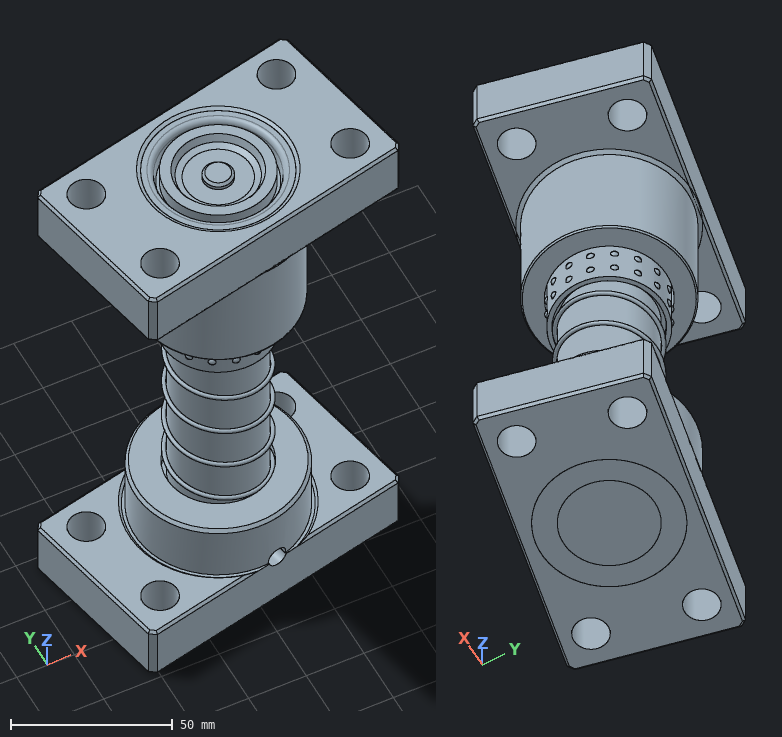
import cadquery as cq
import math


TOTAL_HEIGHT = 180.4
PLATE_LENGTH = 100.1
PLATE_WIDTH = 57.9
PLATE_THICKNESS = 20.0
PLATE_TURN = 12.4
PLATE_CORNER_CHAMFER = 2.0
PLATE_EDGE_CHAMFER = 0.9
BOLT_SPACING_LENGTH = 76.0
BOLT_SPACING_WIDTH = 35.9
BOLT_HOLE_RADIUS = 6.0
TOP_PLATE_Z = TOTAL_HEIGHT - PLATE_THICKNESS

PILLAR_RADIUS = 16.0
SPIGOT_RADIUS = 24.0
SPRING_POCKET_RADIUS = 17.7
BUSH_BORE_RADIUS = 20.0

TOP_BORE_CHAMFER_WIDTH = 1.3
TOP_BORE_CHAMFER_DEPTH = 0.7
BUSH_TOP_Z = TOTAL_HEIGHT - TOP_BORE_CHAMFER_DEPTH

BUSH_RADIUS = 27.5
BUSH_BODY_HEIGHT = 39.7
BUSH_EDGE_CHAMFER = 0.5
BUSH_LIP_WIDTH = 1.5
BUSH_LIP_HEIGHT = 0.9
BUSH_MOUTH_ROUND = 2.0
BUSH_BOTTOM_Z = TOP_PLATE_Z - BUSH_BODY_HEIGHT

COLLAR_RADIUS = 28.9
COLLAR_TOP_Z = 2 * PLATE_THICKNESS
COLLAR_CHAMFER = 1.0
SEAT_MOUTH_RADIUS = 30.8
SEAT_DEPTH = 0.9
COLLAR_POCKET_DEPTH = 5.0
CROSS_HOLE_RADIUS = 3.5

CAP_RADIUS = 18.2
CAP_TOP_Z = 179.8
CAP_THICKNESS = 5.5
CAP_BOTTOM_Z = CAP_TOP_Z - CAP_THICKNESS
DISH_MOUTH_RADIUS = 14.6
DISH_WALL_FOOT_RADIUS = 13.3
DISH_FLOOR_RADIUS = 11.2
DISH_WALL_DEPTH = 2.5
DISH_DEPTH = 3.5
STUD_RADIUS = 5.0
STUD_HEIGHT = 2.2
STUD_CHAMFER = 0.9
DISH_FLOOR_Z = CAP_TOP_Z - DISH_DEPTH

CAGE_RADIUS = 19.3
CAGE_BOTTOM_Z = 105.3
CAGE_POCKET_DEPTH = 2.9
BALL_RADIUS = 1.5
BALLS_PER_ROW = 16
BALL_ROW_HEIGHTS = (110.2, 117.6)
BALL_START_ANGLE = 12.4
BALL_PITCH_RADIUS = BUSH_BORE_RADIUS - BALL_RADIUS

WIRE_RADIUS = 0.7
SPRING_PITCH = 16.0
SPRING_BOTTOM_Z = COLLAR_TOP_Z - COLLAR_POCKET_DEPTH + WIRE_RADIUS
SPRING_TOP_Z = CAGE_BOTTOM_Z + CAGE_POCKET_DEPTH - WIRE_RADIUS
SPRING_HEIGHT = SPRING_TOP_Z - SPRING_BOTTOM_Z
SPRING_END_ANGLE = -145.0
SPRING_CLEARANCE = 0.09
COIL_RADIUS = PILLAR_RADIUS + WIRE_RADIUS + SPRING_CLEARANCE


def turned_body(profile):
    """Revolve a closed (radius, z) outline about the pillar axis."""
    return cq.Workplane("XZ").polyline(profile).close().revolve(360, (0, 0), (0, 1))


def cylinder(radius, bottom_z, top_z):
    return cq.Workplane("XY").workplane(offset=bottom_z).circle(radius).extrude(top_z - bottom_z)


def turn_with_plates(body):
    return body.rotate((0, 0, 0), (0, 0, 1), PLATE_TURN)


def drilled_plate(bottom_z):
    """Chamfered plate with four bolt holes and the central bore, before it is turned about Z."""
    top_z = bottom_z + PLATE_THICKNESS
    plate = (
        cq.Workplane("XY")
        .workplane(offset=bottom_z)
        .rect(PLATE_LENGTH, PLATE_WIDTH)
        .extrude(PLATE_THICKNESS)
        .edges("|Z")
        .chamfer(PLATE_CORNER_CHAMFER)
        .faces("<Z or >Z")
        .edges()
        .chamfer(PLATE_EDGE_CHAMFER)
    )
    bolt_holes = (
        cq.Workplane("XY")
        .workplane(offset=bottom_z)
        .rect(BOLT_SPACING_LENGTH, BOLT_SPACING_WIDTH, forConstruction=True)
        .vertices()
        .circle(BOLT_HOLE_RADIUS)
        .extrude(PLATE_THICKNESS)
    )
    return plate.cut(bolt_holes).cut(cylinder(SPIGOT_RADIUS, bottom_z, top_z))


def cross_hole():
    """Cylinder from the long -Y side of the bottom plate to the axis, level with the plate top."""
    hole = (
        cq.Workplane("XZ")
        .center(0, PLATE_THICKNESS)
        .circle(CROSS_HOLE_RADIUS)
        .extrude(PLATE_WIDTH)
    )
    return turn_with_plates(hole)


def build_top_plate():
    bore_chamfer = turned_body([
        (0, BUSH_TOP_Z),
        (SPIGOT_RADIUS, BUSH_TOP_Z),
        (SPIGOT_RADIUS + TOP_BORE_CHAMFER_WIDTH, TOTAL_HEIGHT),
        (0, TOTAL_HEIGHT),
    ])
    return turn_with_plates(drilled_plate(TOP_PLATE_Z).cut(bore_chamfer))


def build_bottom_plate():
    seat_z = PLATE_THICKNESS - SEAT_DEPTH
    seat = turned_body([
        (0, seat_z),
        (SEAT_MOUTH_RADIUS - SEAT_DEPTH, seat_z),
        (SEAT_MOUTH_RADIUS, PLATE_THICKNESS),
        (0, PLATE_THICKNESS),
    ])
    return turn_with_plates(drilled_plate(0).cut(seat)).cut(cross_hole())


def build_bush():
    bush = turned_body([
        (BUSH_BORE_RADIUS, BUSH_BOTTOM_Z),
        (BUSH_RADIUS - BUSH_EDGE_CHAMFER, BUSH_BOTTOM_Z),
        (BUSH_RADIUS, BUSH_BOTTOM_Z + BUSH_EDGE_CHAMFER),
        (BUSH_RADIUS, TOP_PLATE_Z - BUSH_LIP_HEIGHT),
        (BUSH_RADIUS + BUSH_LIP_WIDTH, TOP_PLATE_Z),
        (SPIGOT_RADIUS, TOP_PLATE_Z),
        (SPIGOT_RADIUS, BUSH_TOP_Z),
        (BUSH_BORE_RADIUS, BUSH_TOP_Z),
    ])
    bore_mouth = bush.faces(">Z").edges(cq.selectors.RadiusNthSelector(0))
    return bore_mouth.fillet(BUSH_MOUTH_ROUND)


def build_collar():
    seat_z = PLATE_THICKNESS - SEAT_DEPTH
    pocket_floor_z = COLLAR_TOP_Z - COLLAR_POCKET_DEPTH
    collar = turned_body([
        (PILLAR_RADIUS, 0),
        (SPIGOT_RADIUS, 0),
        (SPIGOT_RADIUS, seat_z),
        (COLLAR_RADIUS, seat_z),
        (COLLAR_RADIUS, COLLAR_TOP_Z - COLLAR_CHAMFER),
        (COLLAR_RADIUS - COLLAR_CHAMFER, COLLAR_TOP_Z),
        (SPRING_POCKET_RADIUS, COLLAR_TOP_Z),
        (SPRING_POCKET_RADIUS, pocket_floor_z),
        (PILLAR_RADIUS, pocket_floor_z),
    ])
    return collar.cut(cross_hole())


def build_pillar():
    return cylinder(PILLAR_RADIUS, 0, CAP_BOTTOM_Z)


def build_cap():
    return turned_body([
        (0, CAP_BOTTOM_Z),
        (CAP_RADIUS, CAP_BOTTOM_Z),
        (CAP_RADIUS, CAP_TOP_Z),
        (DISH_MOUTH_RADIUS, CAP_TOP_Z),
        (DISH_WALL_FOOT_RADIUS, CAP_TOP_Z - DISH_WALL_DEPTH),
        (DISH_FLOOR_RADIUS, DISH_FLOOR_Z),
        (0, DISH_FLOOR_Z),
    ])


def build_stud():
    stud = cylinder(STUD_RADIUS, DISH_FLOOR_Z, DISH_FLOOR_Z + STUD_HEIGHT)
    return stud.faces(">Z").chamfer(STUD_CHAMFER)


def build_cage():
    """Sleeve on the pillar, with rows of balls whose outer sides lie at the bush bore radius."""
    cage = cylinder(CAGE_RADIUS, CAGE_BOTTOM_Z, CAP_BOTTOM_Z)
    for row_z in BALL_ROW_HEIGHTS:
        for index in range(BALLS_PER_ROW):
            angle = math.radians(BALL_START_ANGLE + index * 360 / BALLS_PER_ROW)
            centre = (BALL_PITCH_RADIUS * math.cos(angle), BALL_PITCH_RADIUS * math.sin(angle), row_z)
            cage = cage.union(cq.Workplane("XY").sphere(BALL_RADIUS).translate(centre))
    spring_pocket = cylinder(SPRING_POCKET_RADIUS, CAGE_BOTTOM_Z, CAGE_BOTTOM_Z + CAGE_POCKET_DEPTH)
    return cage.cut(build_pillar()).cut(spring_pocket)


def build_spring():
    """Round wire swept along a left-hand helix, then turned so its upper end is at the end angle."""
    helix = cq.Wire.makeHelix(SPRING_PITCH, SPRING_HEIGHT, COIL_RADIUS, lefthand=True)
    wire = cq.Workplane("XZ").center(COIL_RADIUS, 0).circle(WIRE_RADIUS).sweep(helix, isFrenet=True)
    start_angle = SPRING_END_ANGLE + 360 * SPRING_HEIGHT / SPRING_PITCH
    spring = wire.rotate((0, 0, 0), (0, 0, 1), start_angle)
    return spring.translate((0, 0, SPRING_BOTTOM_Z))


top_plate = build_top_plate()
bottom_plate = build_bottom_plate()
bush = build_bush()
collar = build_collar()
pillar = build_pillar()
cap = build_cap()
stud = build_stud()
cage = build_cage()
spring = build_spring()

result = cq.Compound.makeCompound([
    top_plate.val(),
    bottom_plate.val(),
    bush.val(),
    collar.val(),
    pillar.val(),
    cap.val(),
    stud.val(),
    cage.val(),
    spring.val(),
])